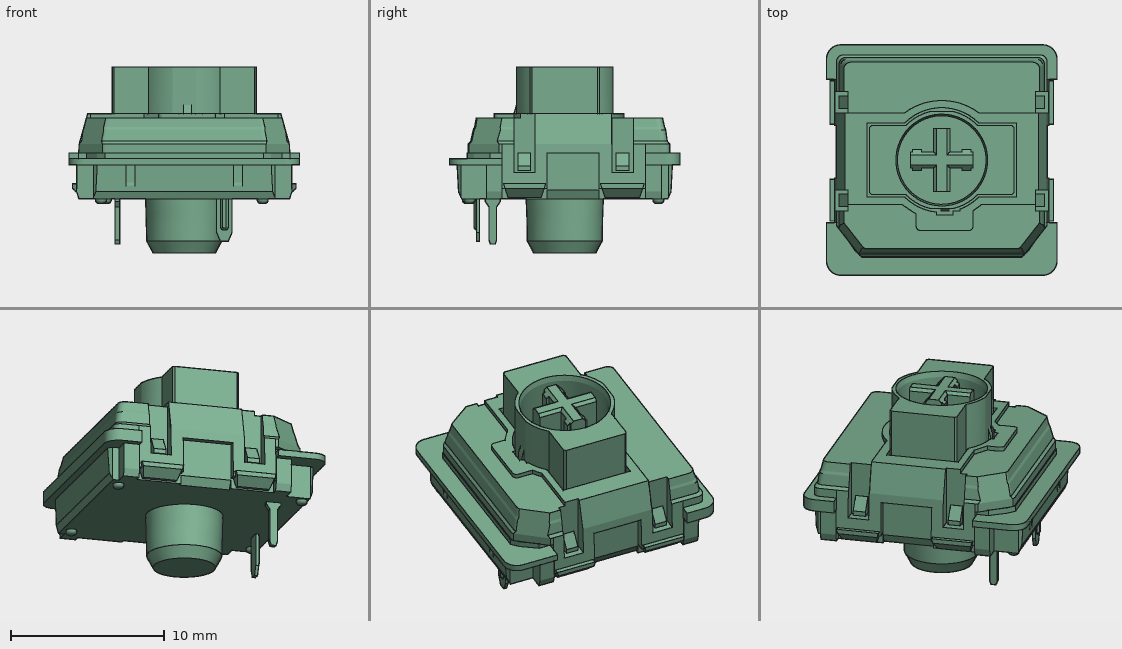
import cadquery as cq

FLANGE_SIDE = 15
FLANGE_CORNER = 0.95
FLANGE_BOTTOM = 2.2
FLANGE_FRONT_TOP = 2.62
FLANGE_BACK_TOP = 3
FLANGE_BACK_Y = 5.25
FLANGE_FRONT_Y = -4.06

LOWER_HALF_X = 7.0
LOWER_SIDE_FRONT = -5.1
LOWER_SIDE_BACK = 6.3
LOWER_END_HALF_X = 5.91
LOWER_END_HALF_Y = 7.0
LOWER_BEVEL = 0.48
SIDE_BEVEL = 0.15
END_BEVEL = 0.3
END_DRAFT = 0.09
END_CORNER = 0.25
SIDE_RECESS_FLOOR = 6.4
RECESS_BEVEL = 0.3
RECESS_BEVEL_HEIGHT = 0.57
GROOVE_X = 3.5
GROOVE_WIDTH = 0.57
GROOVE_DEPTH = 0.12
GROOVE_RAMP_TOP = 1.05
GROOVE_RAMP_BOTTOM = 0.54

UPPER_HALF_X = 6.84
UPPER_BACK = 6.84
UPPER_FRONT = -6.28
UPPER_CORNER = 0.45
UPPER_WALL_TOP = 3.55
UPPER_TOP = 5.26
UPPER_STEPS = [
    (FLANGE_BACK_TOP, 0, 0),
    (UPPER_WALL_TOP, 0, 0),
    (3.75, 0.16, 0.16),
    (4.48, 0.27, 0.33),
    (4.66, 0.35, 0.42),
    (UPPER_TOP, 0.48, 0.52),
]
CORNER_LOW = [(6.84, -4.28), (5.25, -6.3)]
CORNER_HIGH = [(6.39, -4.05), (5.07, -5.73)]
CORNER_ALLOWANCE = 0.03
BASE_FRONT = -6.35
BASE_HALF_X = 6.35

STRIP_TOP = 5.55
STRIP_TOP_HALF_X = 6.28
STRIP_BACK = 3.05
STRIP_FRONT = -2.88
STRIP_ARC_X = 2.45
STRIP_ARC_TOP = 3.87
TAB_FRONT = -4.59
TAB_LEFT = -1.66
TAB_RIGHT = 2.04
TAB_CORNER = 0.3

LEG_OUTER = 6.98
LEG_BEVEL = 0.3
BACK_LEG_START = 2.24
FRONT_LEG_END = -1.15
LEG_RANGES = [(BACK_LEG_START, FLANGE_BACK_Y), (FLANGE_FRONT_Y, FRONT_LEG_END)]
LIP_OUTER = 7.28
LIP_TOP = 0.99
LIP_EDGE = 0.69
LIP_BOTTOM = 0.1
LIP_END_GAP = 0.09
LIP_CORNER = 0.38
RECESS_RANGES = [(3.06, 4.45), (-3.32, -1.94)]
RECESS_WALL = 6.09
RECESS_BOTTOM = 1.72
CATCH_OUTER = 6.68
CATCH_TOP = 3
CATCH_SHOULDER = 2.15
CATCH_BOTTOM = 1.85
CATCH_END_GAP = 0.28
CATCH_ROOT = 0.15

STEM_TOP = 8.58
STEM_HALF_X = 4.7
STEM_HALF_Y = 2.25
STEM_RADIUS = 3.24
STEM_FLAT = 3.15
STEM_CHAMFER = 0.14
STEM_GAP = 0.16
GAP_FLOOR = 3.3
CUP_RADIUS = 2.88
CUP_FLOOR = STRIP_TOP
CUP_LEAD_IN = 0.1
CUP_LEAD_IN_DEPTH = 0.39
CROSS_HALF_SPAN = 2.04
CROSS_HALF_WIDTH = 0.52
CROSS_BEVEL = 0.2
LUG_X = 1.6
LUG_WIDTH = 0.58
LUG_HALF_SPAN = 0.69
NUB_X = 0.21
NUB_WIDTH = 0.54
NUB_HEIGHT = 0.54
NUB_FRONT = -3.3

POST_RADIUS = 2.52
POST_LOWER_RADIUS = 2.45
POST_TIP_RADIUS = 2.02
POST_BEVEL_Z = -2.75
POST_BOTTOM = -3.52
PIN_ROOT = 0.15
BUMP_RADIUS = 0.36
BUMP_HEIGHT = 0.3
BUMP_ROUND = 0.22
BUMPS = [(-5.1, 6.09), (5.1, 6.09), (-5.42, -6.3), (5.1, -6.2)]


def box(x0, x1, y0, y1, z0, z1):
    return cq.Workplane("XY").box(x1 - x0, y1 - y0, z1 - z0, centered=False).translate((x0, y0, z0))


def extrude_along_x(points, x0, x1):
    """Extrude a closed (y, z) outline from x0 to x1."""
    return cq.Workplane("YZ", origin=(x0, 0, 0)).polyline(points).close().extrude(x1 - x0)


def extrude_along_y(points, y0, y1):
    """Extrude a closed (x, z) outline from y0 to y1."""
    return cq.Workplane("XZ", origin=(0, y0, 0)).polyline(points).close().extrude(y0 - y1)


def both_sides(body):
    return body.union(body.mirror("YZ"))


def flange():
    half = FLANGE_SIDE / 2
    plate = (
        cq.Workplane("XY", origin=(0, 0, FLANGE_BOTTOM))
        .rect(FLANGE_SIDE, FLANGE_SIDE)
        .extrude(FLANGE_BACK_TOP - FLANGE_BOTTOM)
        .edges("|Z")
        .fillet(FLANGE_CORNER)
    )
    front_step = box(-half, half, -half, FLANGE_BACK_Y, FLANGE_FRONT_TOP, FLANGE_BACK_TOP)
    side_gap = box(SIDE_RECESS_FLOOR, half, FLANGE_FRONT_Y, FLANGE_BACK_Y, FLANGE_BOTTOM, FLANGE_BACK_TOP)
    return plate.cut(front_step).cut(both_sides(side_gap))


def lower_housing():
    side_section = [
        (-LOWER_HALF_X + SIDE_BEVEL, 0),
        (LOWER_HALF_X - SIDE_BEVEL, 0),
        (LOWER_HALF_X, LOWER_BEVEL),
        (LOWER_HALF_X, FLANGE_BOTTOM),
        (-LOWER_HALF_X, FLANGE_BOTTOM),
        (-LOWER_HALF_X, LOWER_BEVEL),
    ]
    sides = extrude_along_y(side_section, LOWER_SIDE_FRONT, LOWER_SIDE_BACK)
    sides = sides.cut(
        both_sides(box(SIDE_RECESS_FLOOR, FLANGE_SIDE / 2, FLANGE_FRONT_Y, FLANGE_BACK_Y, 0, FLANGE_BOTTOM))
    )
    recess_bevel = [
        (SIDE_RECESS_FLOOR - RECESS_BEVEL, 0),
        (SIDE_RECESS_FLOOR, 0),
        (SIDE_RECESS_FLOOR, RECESS_BEVEL_HEIGHT),
    ]
    sides = sides.cut(both_sides(extrude_along_y(recess_bevel, FRONT_LEG_END, BACK_LEG_START)))
    core = box(
        -SIDE_RECESS_FLOOR, SIDE_RECESS_FLOOR, FLANGE_FRONT_Y, FLANGE_BACK_Y, FLANGE_BOTTOM, FLANGE_BACK_TOP
    )

    end_section = [
        (-LOWER_END_HALF_Y + END_BEVEL, 0),
        (LOWER_END_HALF_Y - END_BEVEL, 0),
        (LOWER_END_HALF_Y - END_DRAFT, LOWER_BEVEL),
        (LOWER_END_HALF_Y, FLANGE_BOTTOM),
        (-LOWER_END_HALF_Y, FLANGE_BOTTOM),
        (-LOWER_END_HALF_Y + END_DRAFT, LOWER_BEVEL),
    ]
    ends = extrude_along_x(end_section, -LOWER_END_HALF_X, LOWER_END_HALF_X)
    corner_trim = (
        cq.Workplane("XY")
        .rect(2 * LOWER_END_HALF_X, 2 * LOWER_END_HALF_Y)
        .extrude(FLANGE_BOTTOM)
        .edges("|Z")
        .chamfer(END_CORNER)
    )
    ends = ends.intersect(corner_trim)

    front = -LOWER_END_HALF_Y
    groove_section = [
        (front, GROOVE_RAMP_BOTTOM),
        (front, FLANGE_BOTTOM),
        (front + GROOVE_DEPTH, FLANGE_BOTTOM),
        (front + GROOVE_DEPTH, GROOVE_RAMP_TOP),
    ]
    for x in (-GROOVE_X, GROOVE_X):
        ends = ends.cut(extrude_along_x(groove_section, x - GROOVE_WIDTH / 2, x + GROOVE_WIDTH / 2))
    return sides.union(core).union(ends)


def housing_layer(height, inset, front_inset):
    """Horizontal outline of the upper housing: rounded back corners, cut-off and rounded front corners."""
    side = UPPER_HALF_X - inset
    back = UPPER_BACK - inset
    front = UPPER_FRONT + front_inset
    lean = max(0, (height - UPPER_WALL_TOP) / (UPPER_TOP - UPPER_WALL_TOP))
    (x0, y0), (x1, y1) = [
        (low_x + lean * (high_x - low_x), low_y + lean * (high_y - low_y))
        for (low_x, low_y), (high_x, high_y) in zip(CORNER_LOW, CORNER_HIGH)
    ]
    slope = (y0 - y1) / (x0 - x1)
    cut_x = x0 + CORNER_ALLOWANCE + (front - y0) / slope
    cut_y = y0 + slope * (side - x0 - CORNER_ALLOWANCE)
    points = [(cut_x, front), (side, cut_y), (side, back), (-side, back), (-side, cut_y), (-cut_x, front)]
    outline = cq.Wire.makePolygon([cq.Vector(x, y, height) for x, y in points], close=True)
    rounded = [v for v in outline.Vertices() if abs(v.Y - front) < 0.002 or v.Y > 0]
    return outline.fillet2D(UPPER_CORNER, rounded)


def corner_outline(line):
    """Region outside a line that cuts off the front right corner."""
    far = FLANGE_SIDE / 2
    (x0, y0), (x1, y1) = line
    return [(x0, y0), (x1, y1), (x1, -far), (far, -far), (far, y0)]


def front_corner():
    """Waste at the front right corner: upright up to the wall top, then leaning inwards."""
    upright = cq.Workplane("XY", origin=(0, 0, FLANGE_BACK_TOP)).polyline(corner_outline(CORNER_LOW)).close()
    upright = upright.extrude(UPPER_WALL_TOP - FLANGE_BACK_TOP)
    leaning = (
        cq.Workplane("XY", origin=(0, 0, UPPER_WALL_TOP))
        .polyline(corner_outline(CORNER_LOW))
        .close()
        .workplane(offset=UPPER_TOP - UPPER_WALL_TOP)
        .polyline(corner_outline(CORNER_HIGH))
        .close()
        .loft(ruled=True)
    )
    return upright.union(leaning)


def strip_plan():
    """Raised pad: a bar with an arc around the stem at the back and a tab at the front."""
    x = STRIP_TOP_HALF_X
    pad = (
        cq.Workplane("XY", origin=(0, 0, FLANGE_BACK_TOP))
        .moveTo(-x, STRIP_FRONT)
        .lineTo(-x, STRIP_BACK)
        .lineTo(-STRIP_ARC_X, STRIP_BACK)
        .threePointArc((0, STRIP_ARC_TOP), (STRIP_ARC_X, STRIP_BACK))
        .lineTo(x, STRIP_BACK)
        .lineTo(x, STRIP_FRONT)
        .lineTo(2.61, STRIP_FRONT)
        .lineTo(TAB_RIGHT, -3.3)
        .lineTo(TAB_RIGHT, TAB_FRONT)
        .lineTo(TAB_LEFT, TAB_FRONT)
        .lineTo(TAB_LEFT, -3.51)
        .lineTo(-2.61, STRIP_FRONT)
        .close()
        .extrude(STRIP_TOP - FLANGE_BACK_TOP)
    )
    return pad.edges("|Z").edges("<Y").fillet(TAB_CORNER)


def upper_housing():
    wall = cq.Workplane()
    for lower, upper in zip(UPPER_STEPS, UPPER_STEPS[1:]):
        wall = wall.add(cq.Solid.makeLoft([housing_layer(*lower), housing_layer(*upper)], True))
    wall = wall.combine().cut(both_sides(front_corner()))

    base_points = [
        (-BASE_HALF_X, STRIP_BACK),
        (-BASE_HALF_X, -4.85),
        (-5.64, -5.9),
        (-5.16, BASE_FRONT),
        (5.16, BASE_FRONT),
        (5.64, -5.9),
        (BASE_HALF_X, -4.85),
        (BASE_HALF_X, STRIP_BACK),
    ]
    base = cq.Workplane("XY", origin=(0, 0, FLANGE_BOTTOM)).polyline(base_points).close()
    base = base.extrude(FLANGE_BACK_TOP - FLANGE_BOTTOM)

    strip_section = [
        (-UPPER_HALF_X, FLANGE_BACK_TOP),
        (UPPER_HALF_X, FLANGE_BACK_TOP),
        (UPPER_HALF_X, UPPER_WALL_TOP),
        (STRIP_TOP_HALF_X, STRIP_TOP),
        (-STRIP_TOP_HALF_X, STRIP_TOP),
        (-UPPER_HALF_X, UPPER_WALL_TOP),
    ]
    strip = extrude_along_y(strip_section, STRIP_FRONT, STRIP_BACK)
    return wall.union(base).union(strip).union(strip_plan())


def skirt():
    """Drafted side skirt of the upper housing, cut away below the flange top to leave the snap legs."""
    section = [
        (RECESS_WALL, LIP_EDGE),
        (LEG_OUTER, LIP_EDGE),
        (LEG_OUTER, LIP_TOP),
        (UPPER_HALF_X, UPPER_WALL_TOP),
        (RECESS_WALL, UPPER_WALL_TOP),
    ]
    panel = extrude_along_y(section, FLANGE_FRONT_Y, FLANGE_BACK_Y)
    opening = box(SIDE_RECESS_FLOOR, LEG_OUTER, FRONT_LEG_END, BACK_LEG_START, LIP_EDGE, FLANGE_BACK_TOP)
    return panel.cut(opening)


def snap_lip(y0, y1):
    lip_section = [
        (RECESS_WALL, LIP_TOP),
        (LIP_OUTER, LIP_TOP),
        (LIP_OUTER, LIP_EDGE),
        (LEG_OUTER - LEG_BEVEL, LIP_BOTTOM),
        (RECESS_WALL, LIP_BOTTOM),
    ]
    lip = extrude_along_y(lip_section, y0 + LIP_END_GAP, y1 - LIP_END_GAP)
    side_shape = [
        (y0 + LIP_END_GAP, LIP_TOP),
        (y0 + 2 * LIP_END_GAP, LIP_EDGE),
        (y0 + LIP_CORNER, LIP_BOTTOM),
        (y1 - LIP_CORNER, LIP_BOTTOM),
        (y1 - 2 * LIP_END_GAP, LIP_EDGE),
        (y1 - LIP_END_GAP, LIP_TOP),
    ]
    side_trim = extrude_along_x(side_shape, RECESS_WALL, LIP_OUTER)
    return lip.intersect(side_trim)


def catch(y0, y1):
    section = [
        (RECESS_WALL - CATCH_ROOT, CATCH_BOTTOM),
        (CATCH_OUTER, CATCH_BOTTOM),
        (CATCH_OUTER, CATCH_SHOULDER),
        (RECESS_WALL, CATCH_TOP),
        (RECESS_WALL - CATCH_ROOT, CATCH_TOP),
    ]
    return extrude_along_y(section, y0 + CATCH_END_GAP, y1 - CATCH_END_GAP)


def stem_bar(gap):
    bar = cq.Workplane("XY", origin=(0, 0, GAP_FLOOR)).rect(2 * (STEM_HALF_X + gap), 2 * (STEM_HALF_Y + gap))
    return bar.extrude(STEM_TOP - GAP_FLOOR)


def stem_barrel(gap):
    barrel = cq.Workplane("XY", origin=(0, 0, GAP_FLOOR)).circle(STEM_RADIUS + gap)
    return barrel.extrude(STEM_TOP - GAP_FLOOR)


def stem_pocket():
    """Clearance around the stem through the upper housing."""
    pocket = stem_bar(STEM_GAP).union(stem_barrel(STEM_GAP))
    shallow = box(NUB_X - NUB_WIDTH, 1.18, NUB_FRONT, 0, GAP_FLOOR, STRIP_TOP)
    deep = box(NUB_X - NUB_WIDTH, 0.72, -3.58, 0, GAP_FLOOR, STRIP_TOP)
    return pocket.union(shallow).union(deep)


def cross_arm(half_x, half_y, bevel_edges):
    arm = box(-half_x, half_x, -half_y, half_y, CUP_FLOOR, STEM_TOP)
    return arm.faces(">Z").edges(bevel_edges).chamfer(CROSS_BEVEL)


def stem():
    flats = box(-STEM_RADIUS, STEM_RADIUS, -STEM_FLAT, STEM_FLAT, GAP_FLOOR, STEM_TOP)
    body = stem_bar(0).edges("|Z").chamfer(STEM_CHAMFER).union(stem_barrel(0).intersect(flats))
    cup = cq.Workplane("XY", origin=(0, 0, CUP_FLOOR)).circle(CUP_RADIUS).extrude(STEM_TOP - CUP_FLOOR)
    lead_in_z = STEM_TOP - CUP_LEAD_IN_DEPTH
    lead_in = (
        cq.Workplane("XY", origin=(0, 0, lead_in_z))
        .circle(CUP_RADIUS)
        .workplane(offset=CUP_LEAD_IN_DEPTH)
        .circle(CUP_RADIUS + CUP_LEAD_IN)
        .loft()
    )
    body = body.cut(cup).cut(lead_in)

    body = body.union(cross_arm(CROSS_HALF_SPAN, CROSS_HALF_WIDTH, "|X"))
    body = body.union(cross_arm(CROSS_HALF_WIDTH, CROSS_HALF_SPAN, "|Y"))
    shoulder = STEM_TOP - CROSS_BEVEL
    lug_top = shoulder - (LUG_HALF_SPAN - CROSS_HALF_WIDTH)
    lug_section = [
        (-LUG_HALF_SPAN, CUP_FLOOR),
        (LUG_HALF_SPAN, CUP_FLOOR),
        (LUG_HALF_SPAN, lug_top),
        (CROSS_HALF_WIDTH, shoulder),
        (-CROSS_HALF_WIDTH, shoulder),
        (-LUG_HALF_SPAN, lug_top),
    ]
    for x in (-LUG_X, LUG_X):
        body = body.union(extrude_along_x(lug_section, x - LUG_WIDTH / 2, x + LUG_WIDTH / 2))

    nub_section = [
        (-CUP_RADIUS, GAP_FLOOR),
        (NUB_FRONT, GAP_FLOOR),
        (NUB_FRONT, STRIP_TOP),
        (-STEM_FLAT, STRIP_TOP + NUB_HEIGHT),
        (-CUP_RADIUS - CUP_LEAD_IN, STRIP_TOP + NUB_HEIGHT),
        (-CUP_RADIUS - CUP_LEAD_IN, STRIP_TOP),
        (-CUP_RADIUS, STRIP_TOP),
    ]
    nub = extrude_along_x(nub_section, NUB_X - NUB_WIDTH / 2, NUB_X + NUB_WIDTH / 2)
    return body.union(nub)


def post():
    outline = [
        (0, PIN_ROOT),
        (POST_RADIUS, PIN_ROOT),
        (POST_RADIUS, 0),
        (POST_LOWER_RADIUS, POST_BEVEL_Z),
        (POST_TIP_RADIUS, POST_BOTTOM),
        (0, POST_BOTTOM),
    ]
    return cq.Workplane("XZ").polyline(outline).close().revolve(360, (0, 0), (0, 1))


def side_pin():
    """Pin near the left side: a wide root narrowing to a long blade with a bevelled tip."""
    middle = -4.68
    half_outline = [(0.5, PIN_ROOT), (0.5, -0.16), (0.25, -0.52), (0.25, -2.67), (0.16, -2.94)]
    outline = [(middle + w, z) for w, z in half_outline]
    outline += [(middle - w, z) for w, z in reversed(half_outline)]
    return extrude_along_x(outline, -4.52, -4.18)


def front_pin():
    """Pin near the front: a flat pointed blade with a stiffening rib."""
    middle = 2.61
    half_outline = [(0.51, PIN_ROOT), (0.51, -2.18), (0.25, -2.76)]
    outline = [(middle + w, z) for w, z in half_outline]
    outline += [(middle - w, z) for w, z in reversed(half_outline)]
    blade_front = -5.75
    blade = extrude_along_y(outline, blade_front, -5.54)
    rib_half_width = 0.25
    rib_bottom = -2.02
    rib_height = PIN_ROOT - rib_bottom
    rib = (
        cq.Workplane("XZ", origin=(middle, blade_front, rib_bottom + rib_height / 2))
        .rect(2 * rib_half_width, rib_height)
        .extrude(0.16)
        .faces("<Z")
        .edges("|Y")
        .fillet(0.8 * rib_half_width)
    )
    rib = rib.faces("<Y").edges("|Z").chamfer(0.14)
    return blade.union(rib)


def bumps():
    dome = cq.Workplane("XY", origin=(0, 0, PIN_ROOT)).pushPoints(BUMPS)
    dome = dome.circle(BUMP_RADIUS).extrude(-BUMP_HEIGHT - PIN_ROOT)
    return dome.faces("<Z").edges().fillet(BUMP_ROUND)


housing = flange().union(lower_housing()).union(upper_housing()).union(both_sides(skirt()))
for leg_start, leg_end in LEG_RANGES:
    housing = housing.union(both_sides(snap_lip(leg_start, leg_end)))
for recess_start, recess_end in RECESS_RANGES:
    recess = box(RECESS_WALL, FLANGE_SIDE / 2, recess_start, recess_end, RECESS_BOTTOM, STRIP_TOP)
    housing = housing.cut(both_sides(recess))
    housing = housing.union(both_sides(catch(recess_start, recess_end)))

housing = housing.cut(stem_pocket())
result = housing.union(stem()).union(post()).union(side_pin()).union(front_pin()).union(bumps())